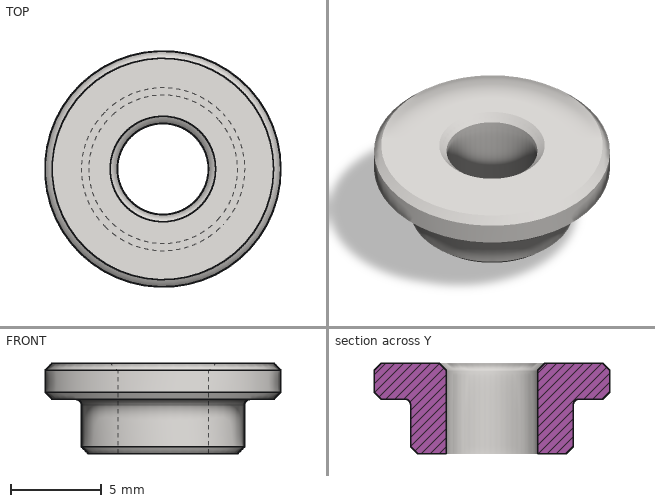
import cadquery as cq

flange_diameter = 13.0
body_diameter = 9.0
bore_diameter = 5.0
total_height = 5.0
flange_thickness = 2.0
edge_chamfer = 0.4
neck_fillet = 0.3

flange_underside = total_height - flange_thickness

body = (
    cq.Workplane("XY")
    .circle(body_diameter / 2)
    .extrude(total_height)
    .faces("<Z").edges().chamfer(edge_chamfer)
)

flange = (
    cq.Workplane("XY", origin=(0, 0, flange_underside))
    .circle(flange_diameter / 2)
    .extrude(flange_thickness)
    .edges().chamfer(edge_chamfer)
)

underside_face = cq.selectors.NearestToPointSelector((0, 0, flange_underside))
smallest_circle = cq.selectors.RadiusNthSelector(0)
bushing = body.union(flange)
bushing = bushing.faces(underside_face).edges(smallest_circle).fillet(neck_fillet)

bushing = bushing.faces(">Z").workplane().circle(bore_diameter / 2).cutThruAll()
result = bushing.faces(">Z").edges(smallest_circle).chamfer(edge_chamfer)